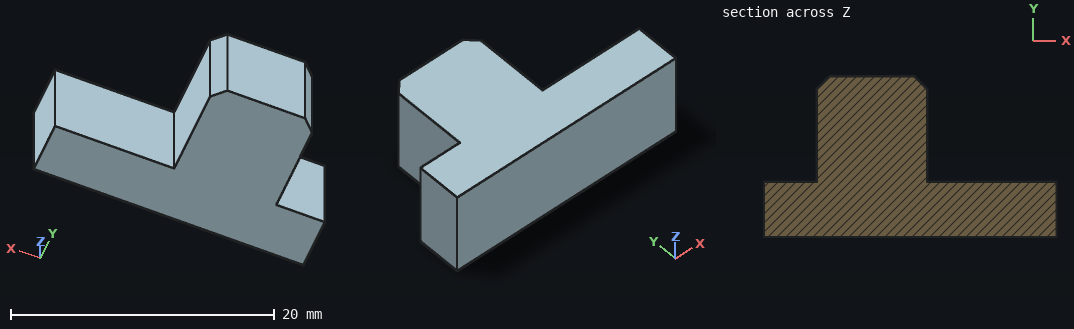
import cadquery as cq

height = 8.0
bar_length = 22.2
bar_depth = 4.2

tongue_offset = 4.0
tongue_width = 8.4
tongue_length = 8.0
tongue_chamfer = 1.0


def make_bar():
    """Rectangular bar with its front left bottom corner at the origin."""
    return cq.Workplane("XY").box(bar_length, bar_depth, height, centered=False)


def make_tongue():
    """Block behind the bar, with its two free vertical edges chamfered."""
    return (
        cq.Workplane("XY")
        .box(tongue_width, tongue_length, height, centered=False)
        .edges("|Z and >Y")
        .chamfer(tongue_chamfer)
        .translate((tongue_offset, bar_depth, 0))
    )


result = make_bar().union(make_tongue())